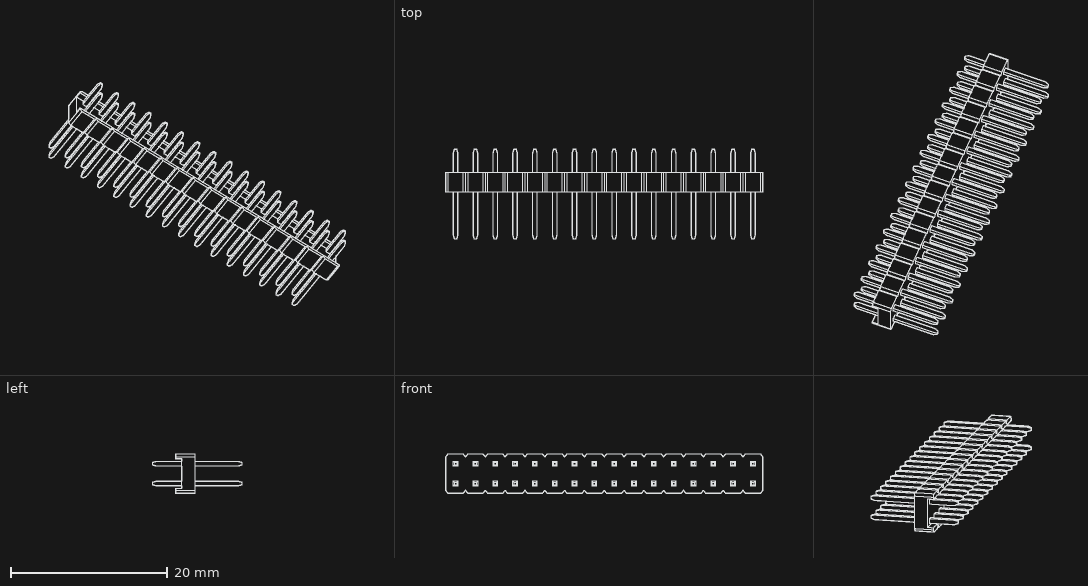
import cadquery as cq

body_length = 40.65
columns = 16
rows = 2
pitch = body_length / columns
body_height = rows * pitch

pin_length = 11.5
front_pin_length = 6.0
body_depth = 2.5
front_tip_y = -pin_length / 2
body_front_y = front_tip_y + front_pin_length
body_rear_y = body_front_y + body_depth

notch_half_width = 0.305
notch_depth = 0.385

channel_depth = 0.77
lip_thickness = 0.65

pin_width = 0.6
tip_width = 0.33
tip_length = 0.5


def make_block():
    return cq.Workplane("XY").box(
        body_length, body_depth, body_height, centered=(True, False, True)
    ).translate((0, body_front_y, 0))


def make_notch(x, side):
    """V-groove prism along Y on the top (side = 1) or bottom (side = -1)."""
    surface_z = side * body_height / 2
    return (
        cq.Workplane("XZ", origin=(0, body_front_y, 0))
        .moveTo(x - notch_half_width, surface_z)
        .lineTo(x, surface_z - side * notch_depth)
        .lineTo(x + notch_half_width, surface_z)
        .close()
        .extrude(-body_depth)
    )


def make_channel():
    channel_height = body_height - 2 * lip_thickness
    return cq.Workplane("XY").box(
        body_length, channel_depth, channel_height, centered=(True, False, True)
    ).translate((0, body_rear_y - channel_depth, 0))


def make_tip():
    """Tip tapering from the pin section at Y = 0 to its flat end at +Y."""
    return (
        cq.Workplane("XZ")
        .rect(pin_width, pin_width)
        .workplane(offset=-tip_length)
        .rect(tip_width, tip_width)
        .loft(ruled=True)
    )


def make_pin():
    """Pin centred on the origin along Y."""
    shank_length = pin_length - 2 * tip_length
    shank = cq.Workplane("XY").box(pin_width, shank_length, pin_width)
    rear_tip = make_tip().translate((0, shank_length / 2, 0))
    front_tip = rear_tip.mirror("XZ")
    return shank.union(rear_tip).union(front_tip)


result = make_block().cut(make_channel())

for boundary in range(columns + 1):
    notch_x = boundary * pitch - body_length / 2
    for side in (-1, 1):
        result = result.cut(make_notch(notch_x, side))

pin = make_pin()
for column in range(columns):
    pin_x = (column + 0.5) * pitch - body_length / 2
    for row in range(rows):
        pin_z = (row + 0.5) * pitch - body_height / 2
        result = result.union(pin.translate((pin_x, 0, pin_z)))